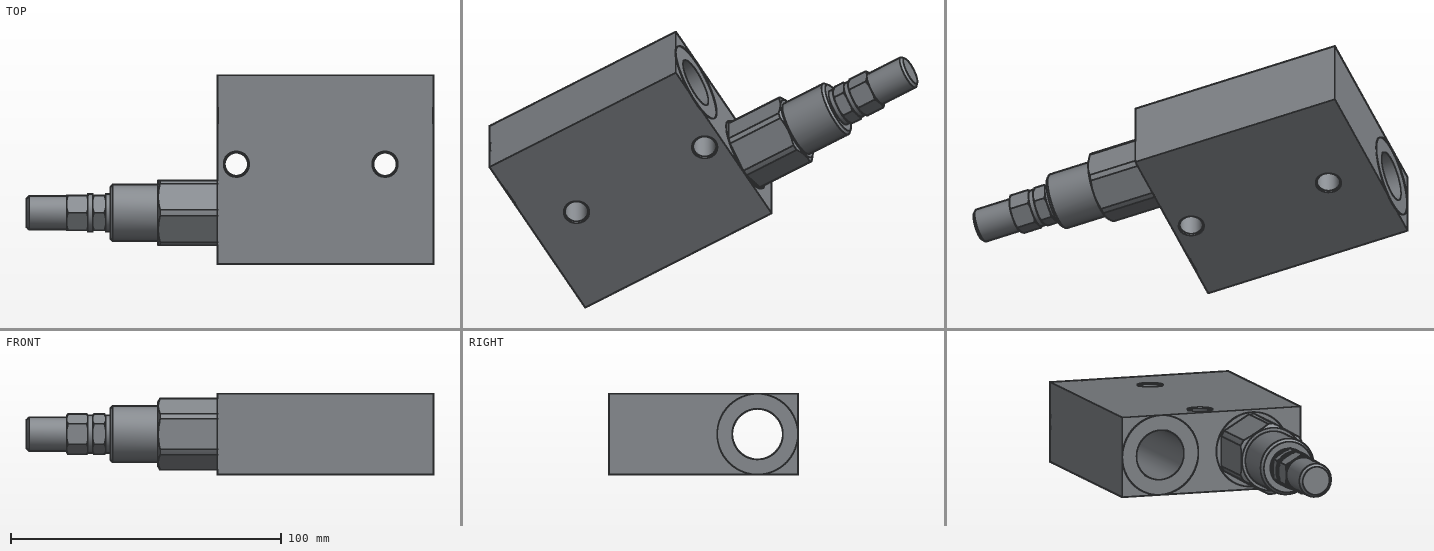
import cadquery as cq
import math


BLOCK_LENGTH = 80.0
BLOCK_WIDTH = 70.0
BLOCK_HEIGHT = 30.0
CARTRIDGE_TO_SIDE = 19.0
BLOCK_Y_MIN = -CARTRIDGE_TO_SIDE
BLOCK_Y_MAX = BLOCK_Y_MIN + BLOCK_WIDTH

PORT_DIAMETER = 18.63
PORT_TO_SIDE = 15.0
PORT_Y = BLOCK_Y_MAX - PORT_TO_SIDE
PORT_SPOTFACE_DIAMETER = 29.9
CARTRIDGE_SPOTFACE_DIAMETER = 28.0
SPOTFACE_DEPTH = 0.3

MOUNT_DIAMETER = 8.5
MOUNT_CHAMFER = 0.5
MOUNT_FIRST_X = 7.0
MOUNT_SPACING = 55.0
MOUNT_TO_SIDE = 33.0
MOUNT_Y = BLOCK_Y_MAX - MOUNT_TO_SIDE

TIP_DIAMETER = 12.5
TIP_LENGTH = 15.0
TIP_CHAMFER = 1.0
SMALL_HEX_FLATS = 13.0
SMALL_HEX_CHAMFER_DIAMETER = 13.5
SMALL_HEX_CHAMFER_ANGLE = 30.0
CAP_HEX_LENGTH = 7.8
COLLAR_DIAMETER = 14.0
COLLAR_LENGTH = 1.8
LOCKNUT_LENGTH = 4.7
NECK_LENGTH = 1.7
SLEEVE_DIAMETER = 21.0
SLEEVE_LENGTH = 17.7
SLEEVE_CHAMFER = 1.0
BODY_HEX_FLATS = 24.0
BODY_HEX_TURNED_DIAMETER = 26.5
BODY_HEX_CHAMFER_DIAMETER = 23.6
BODY_HEX_CHAMFER_LENGTH = 0.8
BODY_HEX_LENGTH = 22.0

CARTRIDGE_LENGTH = (TIP_LENGTH + CAP_HEX_LENGTH + COLLAR_LENGTH + LOCKNUT_LENGTH
                    + NECK_LENGTH + SLEEVE_LENGTH + BODY_HEX_LENGTH)


def cylinder(x_start, length, diameter, y=0.0):
    """Cylinder along +X."""
    return cq.Workplane("YZ", origin=(x_start, y, 0)).circle(diameter / 2).extrude(length)


def hexagon(x_start, length, across_flats):
    """Hexagonal bar along +X with its flats facing +Y and -Y."""
    across_corners = across_flats / math.cos(math.pi / 6)
    plane = cq.Plane(origin=(x_start, 0, 0), xDir=(0, 0, 1), normal=(1, 0, 0))
    return cq.Workplane(plane).polygon(6, across_corners).extrude(length)


def turned_blank(x_start, length, diameter, end_diameter, chamfer_length, rear=True):
    """Round blank along +X, coned down to end_diameter at its -X end and optionally at its rear."""
    radius = diameter / 2
    end_radius = end_diameter / 2
    x_end = x_start + length
    profile = (
        cq.Workplane("XY")
        .moveTo(x_start, 0)
        .lineTo(x_start, end_radius)
        .lineTo(x_start + chamfer_length, radius)
    )
    if rear:
        profile = profile.lineTo(x_end - chamfer_length, radius).lineTo(x_end, end_radius)
    else:
        profile = profile.lineTo(x_end, radius)
    return profile.lineTo(x_end, 0).close().revolve(360, (0, 0, 0), (1, 0, 0))


def small_hexagon(x_start, length):
    """Small hexagon with chamfered corners at both ends."""
    across_corners = SMALL_HEX_FLATS / math.cos(math.pi / 6)
    corner_drop = (across_corners - SMALL_HEX_CHAMFER_DIAMETER) / 2
    chamfer_length = corner_drop * math.tan(math.radians(SMALL_HEX_CHAMFER_ANGLE))
    blank = turned_blank(x_start, length, across_corners, SMALL_HEX_CHAMFER_DIAMETER, chamfer_length)
    return hexagon(x_start, length, SMALL_HEX_FLATS).intersect(blank)


def body_hexagon(x_start):
    """Large hexagon with turned corners, chamfered at its free end and seated in the spotface."""
    length = BODY_HEX_LENGTH + SPOTFACE_DEPTH
    blank = turned_blank(
        x_start, length, BODY_HEX_TURNED_DIAMETER,
        BODY_HEX_CHAMFER_DIAMETER, BODY_HEX_CHAMFER_LENGTH, rear=False,
    )
    return hexagon(x_start, length, BODY_HEX_FLATS).intersect(blank)


def make_cartridge():
    tip_x = -CARTRIDGE_LENGTH
    cap_hex_x = tip_x + TIP_LENGTH
    collar_x = cap_hex_x + CAP_HEX_LENGTH
    locknut_x = collar_x + COLLAR_LENGTH
    neck_x = locknut_x + LOCKNUT_LENGTH
    sleeve_x = neck_x + NECK_LENGTH
    body_hex_x = sleeve_x + SLEEVE_LENGTH

    cartridge = cylinder(tip_x, TIP_LENGTH, TIP_DIAMETER).faces("<X").chamfer(TIP_CHAMFER)
    sleeve = cylinder(sleeve_x, SLEEVE_LENGTH, SLEEVE_DIAMETER).faces("<X").chamfer(SLEEVE_CHAMFER)
    sections = [
        small_hexagon(cap_hex_x, CAP_HEX_LENGTH),
        cylinder(collar_x, COLLAR_LENGTH, COLLAR_DIAMETER),
        small_hexagon(locknut_x, LOCKNUT_LENGTH),
        cylinder(neck_x, NECK_LENGTH, COLLAR_DIAMETER),
        sleeve,
        body_hexagon(body_hex_x),
    ]
    for section in sections:
        cartridge = cartridge.union(section)
    return cartridge


def mounting_hole(x):
    """Cutter for a vertical through hole, chamfered at top and bottom."""
    radius = MOUNT_DIAMETER / 2
    rim_radius = radius + MOUNT_CHAMFER
    half_height = BLOCK_HEIGHT / 2
    bore_half = half_height - MOUNT_CHAMFER
    return (
        cq.Workplane("XZ", origin=(x, MOUNT_Y, 0))
        .moveTo(0, -half_height)
        .lineTo(rim_radius, -half_height)
        .lineTo(radius, -bore_half)
        .lineTo(radius, bore_half)
        .lineTo(rim_radius, half_height)
        .lineTo(0, half_height)
        .close()
        .revolve(360, (0, 0, 0), (0, 1, 0))
    )


def make_block():
    block = cq.Workplane("XY", origin=(0, BLOCK_Y_MIN, 0)).box(
        BLOCK_LENGTH, BLOCK_WIDTH, BLOCK_HEIGHT, centered=(False, False, True)
    )
    block = block.cut(cylinder(0, BLOCK_LENGTH, PORT_DIAMETER, PORT_Y))
    for x_start in (0, BLOCK_LENGTH - SPOTFACE_DEPTH):
        block = block.cut(cylinder(x_start, SPOTFACE_DEPTH, PORT_SPOTFACE_DIAMETER, PORT_Y))
    block = block.cut(cylinder(0, SPOTFACE_DEPTH, CARTRIDGE_SPOTFACE_DIAMETER))
    for x in (MOUNT_FIRST_X, MOUNT_FIRST_X + MOUNT_SPACING):
        block = block.cut(mounting_hole(x))
    return block


result = make_block().union(make_cartridge())